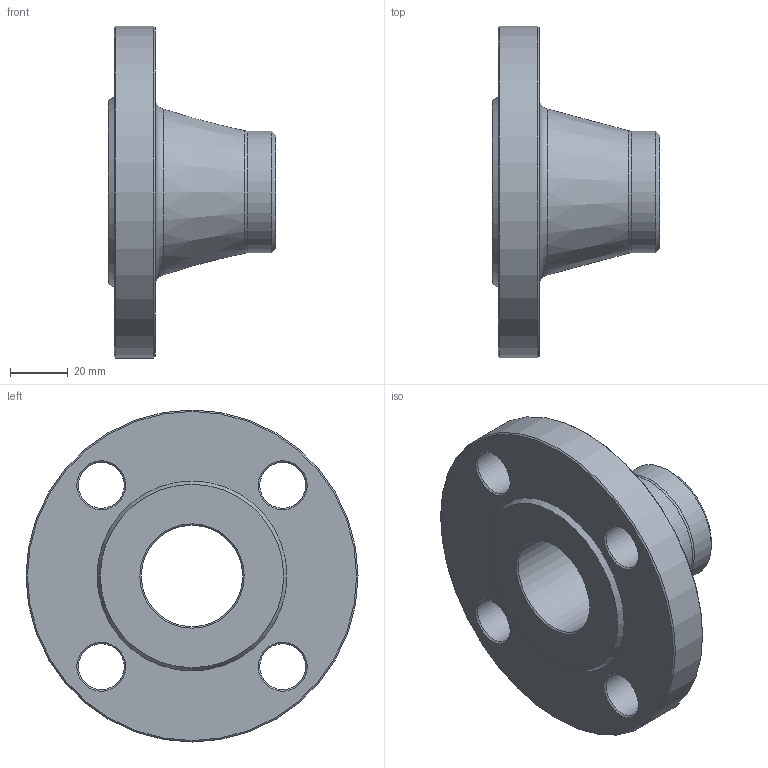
import cadquery as cq
import math


total_length = 58.0
bore_diameter = 35.1
edge_chamfer = 0.5

face_height = 2.0
face_diameter = 63.5
face_side_angle = 30.0

flange_diameter = 115.0
flange_thickness = 14.3

bolt_circle_diameter = 88.9
bolt_hole_diameter = 15.9
bolt_hole_count = 4
first_bolt_angle = 45.0

hub_base_diameter = 59.0
pipe_diameter = 42.2
hub_angle = 15.0
hub_base_fillet = 4.0
hub_pipe_blend = 4.0
weld_bevel = 1.5

flange_front = face_height
flange_back = flange_front + flange_thickness
face_radius = face_diameter / 2
face_base_radius = face_radius + face_height * math.tan(math.radians(face_side_angle))
flange_radius = flange_diameter / 2
hub_base_radius = hub_base_diameter / 2
pipe_radius = pipe_diameter / 2
hub_length = (hub_base_radius - pipe_radius) / math.tan(math.radians(hub_angle))
hub_end = flange_back + hub_length
bolt_offset = bolt_circle_diameter / 2


def hub_base_arc():
    """Start, middle and end (x, radius) of the fillet from flange back to cone."""
    angle = math.radians(hub_angle)
    center_x = flange_back + hub_base_fillet
    cone_radius = hub_base_radius - hub_base_fillet * math.tan(angle)
    center_r = cone_radius + hub_base_fillet / math.cos(angle)

    def point(direction):
        return (
            center_x + hub_base_fillet * math.cos(direction),
            center_r + hub_base_fillet * math.sin(direction),
        )

    wall_direction = math.pi
    cone_direction = 1.5 * math.pi - angle
    middle_direction = (wall_direction + cone_direction) / 2
    return point(wall_direction), point(middle_direction), point(cone_direction)


def hub_pipe_arc():
    """Start, middle and end (x, radius) of the blend from cone to pipe."""
    angle = math.radians(hub_angle)
    tangent_length = hub_pipe_blend * math.tan(angle / 2)
    end_x = hub_end + tangent_length
    center_r = pipe_radius + hub_pipe_blend

    def point(turn):
        return (
            end_x - hub_pipe_blend * math.sin(turn),
            center_r - hub_pipe_blend * math.cos(turn),
        )

    return point(angle), point(angle / 2), point(0)


def turned_body():
    """Solid of revolution: raised face, flange disc, hub cone and pipe stub."""
    base_start, base_middle, base_end = hub_base_arc()
    blend_start, blend_middle, blend_end = hub_pipe_arc()
    profile = (
        cq.Workplane("XY")
        .moveTo(0, 0)
        .lineTo(0, face_radius)
        .lineTo(flange_front, face_base_radius)
        .lineTo(flange_front, flange_radius - edge_chamfer)
        .lineTo(flange_front + edge_chamfer, flange_radius)
        .lineTo(flange_back - edge_chamfer, flange_radius)
        .lineTo(flange_back, flange_radius - edge_chamfer)
        .lineTo(*base_start)
        .threePointArc(base_middle, base_end)
        .lineTo(*blend_start)
        .threePointArc(blend_middle, blend_end)
        .lineTo(total_length - weld_bevel, pipe_radius)
        .lineTo(total_length, pipe_radius - weld_bevel)
        .lineTo(total_length, 0)
        .close()
    )
    return profile.revolve(360, (0, 0, 0), (1, 0, 0))


def hole_cutter(diameter, start, end):
    """Cutter along X from start to end, widened by a chamfer at its start."""
    radius = diameter / 2
    profile = (
        cq.Workplane("XY")
        .moveTo(start, 0)
        .lineTo(start, radius + edge_chamfer)
        .lineTo(start + edge_chamfer, radius)
        .lineTo(end, radius)
        .lineTo(end, 0)
        .close()
    )
    return profile.revolve(360, (0, 0, 0), (1, 0, 0))


def cut_bolt_holes(body):
    """Evenly spaced through holes in the flange disc."""
    cutter = hole_cutter(bolt_hole_diameter, flange_front, flange_back)
    first_cutter = cutter.translate((0, bolt_offset, 0))
    for index in range(bolt_hole_count):
        angle = first_bolt_angle + index * 360 / bolt_hole_count
        body = body.cut(first_cutter.rotate((0, 0, 0), (1, 0, 0), angle))
    return body


flange = turned_body().cut(hole_cutter(bore_diameter, 0, total_length))
result = cut_bolt_holes(flange)